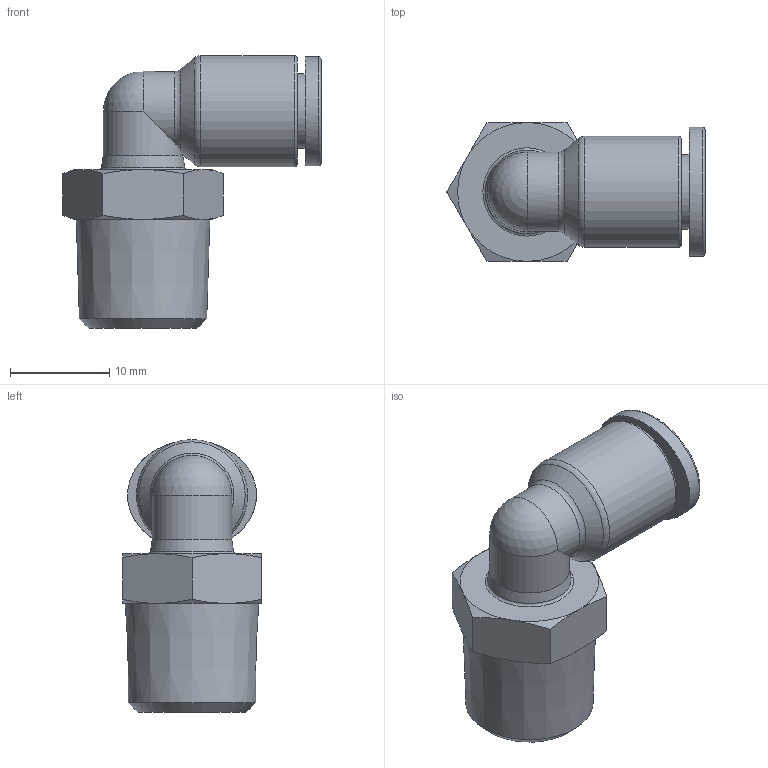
import cadquery as cq
import math

stud_height = 11.0
stud_top_radius = 6.73
stud_taper = 1 / 16
stud_chamfer = 1.0

hex_sides = 6
hex_across_flats = 14.0
hex_height = 5.0
hex_chamfer_angle = math.radians(20)

elbow_radius = 4.0
elbow_axis_z = 21.9
collar_height = 1.4
collar_radius = 4.2
collar_fillet = 0.25

socket_radius = 5.6
socket_end_x = 15.55
socket_edge_fillet = 0.3
shoulder_start_x = 3.54
shoulder_angle = math.radians(40)
shoulder_fillet = 1.0

neck_radius = 3.77
flange_start_x = 16.33
flange_end_x = 17.95
flange_half_width = 6.5
flange_half_height = 5.5
flange_edge_fillet = 0.25

hex_base_z = stud_height
hex_top_z = hex_base_z + hex_height
hex_flat_radius = hex_across_flats / 2
hex_corner_radius = hex_flat_radius / math.cos(math.pi / hex_sides)
shoulder_length = (socket_radius - elbow_radius) / math.tan(shoulder_angle)
shoulder_end_x = shoulder_start_x + shoulder_length


def revolve_about_z(profile_points):
    """Turn a closed (radius, z) outline about the Z axis."""
    return cq.Workplane("XZ").polyline(profile_points).close().revolve(360, (0, 0), (0, 1))


def across_x(x):
    """Workplane facing +X at the given x, centred on the socket axis."""
    return cq.Workplane("YZ", origin=(x, 0, elbow_axis_z))


def make_stud():
    tip_radius = stud_top_radius - stud_taper / 2 * (stud_height - stud_chamfer)
    return revolve_about_z([
        (0, 0),
        (tip_radius - stud_chamfer, 0),
        (tip_radius, stud_chamfer),
        (stud_top_radius, stud_height),
        (0, stud_height),
    ])


def make_hexagon():
    prism = (
        cq.Workplane("XY", origin=(0, 0, hex_base_z))
        .polygon(hex_sides, 2 * hex_corner_radius)
        .extrude(hex_height)
    )
    corner_drop = (hex_corner_radius - hex_flat_radius) * math.tan(hex_chamfer_angle)
    chamfer_envelope = revolve_about_z([
        (0, hex_base_z),
        (hex_flat_radius, hex_base_z),
        (hex_corner_radius, hex_base_z + corner_drop),
        (hex_corner_radius, hex_top_z - corner_drop),
        (hex_flat_radius, hex_top_z),
        (0, hex_top_z),
    ])
    return prism.intersect(chamfer_envelope)


def make_upright_tube():
    """Vertical elbow leg with its flared collar, filleted at the hexagon face."""
    fillet_top_z = hex_top_z + collar_fillet
    arc_offset = collar_fillet * (1 - math.sin(math.radians(45)))
    return (
        cq.Workplane("XZ")
        .moveTo(0, hex_top_z)
        .lineTo(collar_radius + collar_fillet, hex_top_z)
        .threePointArc(
            (collar_radius + arc_offset, hex_top_z + arc_offset),
            (collar_radius, fillet_top_z),
        )
        .lineTo(elbow_radius, hex_top_z + collar_height)
        .lineTo(elbow_radius, elbow_axis_z)
        .lineTo(0, elbow_axis_z)
        .close()
        .revolve(360, (0, 0), (0, 1))
    )


def make_ball():
    return cq.Workplane("XY", origin=(0, 0, elbow_axis_z)).sphere(elbow_radius)


def make_socket():
    """Horizontal elbow leg widening through a filleted cone into the socket."""
    setback = shoulder_fillet * math.tan(shoulder_angle / 2)
    along_cone_x = setback * math.cos(shoulder_angle)
    along_cone_z = setback * math.sin(shoulder_angle)
    tube_top_z = elbow_axis_z + elbow_radius
    socket_top_z = elbow_axis_z + socket_radius
    return (
        cq.Workplane("XZ")
        .moveTo(0, elbow_axis_z)
        .lineTo(0, tube_top_z)
        .lineTo(shoulder_start_x - setback, tube_top_z)
        .tangentArcPoint(
            (shoulder_start_x + along_cone_x, tube_top_z + along_cone_z), relative=False
        )
        .lineTo(shoulder_end_x - along_cone_x, socket_top_z - along_cone_z)
        .tangentArcPoint((shoulder_end_x + setback, socket_top_z), relative=False)
        .lineTo(socket_end_x, socket_top_z)
        .lineTo(socket_end_x, elbow_axis_z)
        .close()
        .revolve(360, (0, elbow_axis_z), (1, elbow_axis_z))
        .faces(">X")
        .edges()
        .fillet(socket_edge_fillet)
    )


def make_collet():
    neck = across_x(socket_end_x).circle(neck_radius).extrude(flange_start_x - socket_end_x)
    flange = (
        across_x(flange_start_x)
        .ellipse(flange_half_width, flange_half_height)
        .extrude(flange_end_x - flange_start_x)
        .faces(">X")
        .edges()
        .fillet(flange_edge_fillet)
    )
    return neck.union(flange)


result = (
    make_stud()
    .union(make_hexagon())
    .union(make_upright_tube())
    .union(make_ball())
    .union(make_socket())
    .union(make_collet())
)